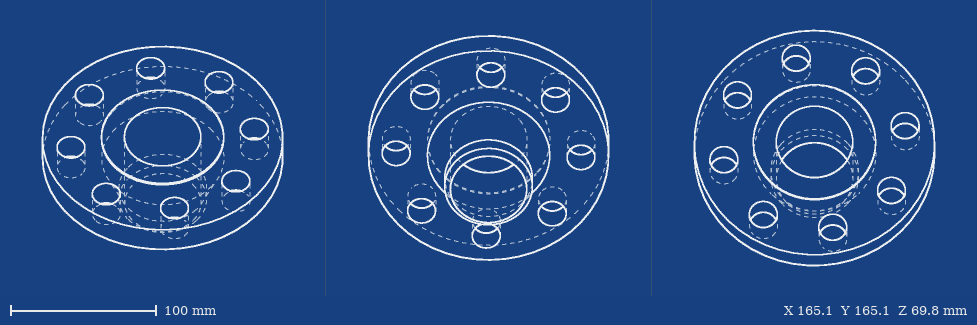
import cadquery as cq

flange_diameter = 165.1
flange_thickness = 21.0

face_diameter = 84.0
face_height = 1.5

overall_height = 69.8
hub_diameter = 84.0
neck_diameter = 60.3
neck_length = 15.8
bevel_height = 4.0
bevel_width = 4.0

bore_diameter = 52.5
bolt_count = 8
bolt_hole_diameter = 19.2
bolt_circle_diameter = 127.0
first_bolt_angle = 180.0 / bolt_count

flange_top = overall_height - face_height
flange_bottom = flange_top - flange_thickness


def turned_body():
    """Revolve the half section of the flange, including its bore."""
    bore_radius = bore_diameter / 2
    neck_radius = neck_diameter / 2
    half_section = (
        cq.Workplane("XZ")
        .moveTo(bore_radius, 0)
        .lineTo(neck_radius - bevel_width, 0)
        .lineTo(neck_radius, bevel_height)
        .lineTo(neck_radius, neck_length)
        .lineTo(hub_diameter / 2, flange_bottom)
        .lineTo(flange_diameter / 2, flange_bottom)
        .lineTo(flange_diameter / 2, flange_top)
        .lineTo(face_diameter / 2, flange_top)
        .lineTo(face_diameter / 2, overall_height)
        .lineTo(bore_radius, overall_height)
        .close()
    )
    return half_section.revolve(360, (0, 0, 0), (0, 1, 0))


def bolt_holes():
    """Cylinders that cut the bolt holes through the flange disc."""
    return (
        cq.Workplane("XY", origin=(0, 0, flange_bottom))
        .polarArray(bolt_circle_diameter / 2, first_bolt_angle, 360, bolt_count)
        .circle(bolt_hole_diameter / 2)
        .extrude(flange_thickness)
    )


result = turned_body().cut(bolt_holes())